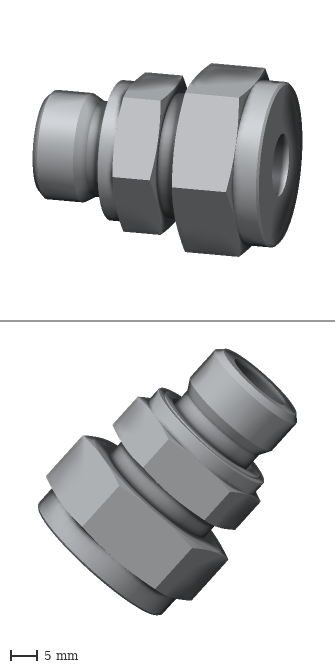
import cadquery as cq
import math


relief_start = 8.35
collar_start = 14.0
body_hex_start = 17.0
body_hex_end = 25.5
nut_hex_start = 29.5
nut_hex_end = 41.5
overall_length = 46.5

stud_radius = 20.955 / 2
stud_chamfer = 1.25
stud_neck_radius = 9.2
relief_angle = math.radians(30)
relief_end = relief_start + (stud_radius - stud_neck_radius) / math.tan(relief_angle)

collar_radius = 13.45
collar_chamfer = 0.1
middle_neck_radius = 12.0

body_hex_flats = 27.0
nut_hex_flats = 32.0
hex_chamfer_angle = math.radians(15)

nut_end_radius = 15.85
nut_end_chamfer = 0.45

bore_radius = 6.0
bore_chamfer = 0.5

seal_outer_radius = 12.0
seal_lead_in_radius = 10.0
seal_lead_in_depth = 0.8
seal_thickness = 1.5
seal_protrusion = 0.25
seal_start = collar_start - seal_protrusion
seal_end = seal_start + seal_thickness


def cylinder(radius, start, end):
    return cq.Workplane("YZ", origin=(start, 0, 0)).circle(radius).extrude(end - start)


def tube(outer_radius, inner_radius, start, end):
    return cylinder(outer_radius, start, end).cut(cylinder(inner_radius, start, end))


def revolve_about_x(points):
    """Revolve an outline given as (x, radius) points around the X axis."""
    return cq.Workplane("XY").polyline(points).close().revolve(360, (0, 0, 0), (1, 0, 0))


def chamfered_hexagon(flats, start, end):
    """Hexagon with flats at the top and bottom and its corners turned off at both ends."""
    inscribed_radius = flats / 2
    corner_radius = inscribed_radius / math.cos(math.pi / 6)
    chamfer_depth = (corner_radius - inscribed_radius) * math.tan(hex_chamfer_angle)
    prism = cq.Workplane("YZ", origin=(start, 0, 0)).polygon(6, 2 * corner_radius).extrude(end - start)
    turned_blank = revolve_about_x([
        (start, 0),
        (start, inscribed_radius),
        (start + chamfer_depth, corner_radius),
        (end - chamfer_depth, corner_radius),
        (end, inscribed_radius),
        (end, 0),
    ])
    return prism.intersect(turned_blank)


def make_stud():
    return revolve_about_x([
        (0, 0),
        (0, stud_radius - stud_chamfer),
        (stud_chamfer, stud_radius),
        (relief_start, stud_radius),
        (relief_end, stud_neck_radius),
        (body_hex_start, stud_neck_radius),
        (body_hex_start, 0),
    ])


def make_collar():
    collar = cylinder(collar_radius, collar_start, body_hex_start).faces("<X").chamfer(collar_chamfer)
    return collar.cut(tube(seal_outer_radius, stud_neck_radius, collar_start, seal_end))


def make_nut_end():
    return cylinder(nut_end_radius, nut_hex_end, overall_length).faces(">X").chamfer(nut_end_chamfer)


def make_bore():
    mouth = cq.Solid.makeCone(
        bore_radius + bore_chamfer, bore_radius, bore_chamfer, cq.Vector(0, 0, 0), cq.Vector(1, 0, 0)
    )
    return cylinder(bore_radius, 0, overall_length).union(cq.Workplane(mouth))


def make_fitting():
    return (
        make_stud()
        .union(make_collar())
        .union(chamfered_hexagon(body_hex_flats, body_hex_start, body_hex_end))
        .union(cylinder(middle_neck_radius, body_hex_end, nut_hex_start))
        .union(chamfered_hexagon(nut_hex_flats, nut_hex_start, nut_hex_end))
        .union(make_nut_end())
        .cut(make_bore())
    )


def make_seal():
    """Ring seated on the stud neck, its bore opening out as a cone towards the stud tip."""
    return revolve_about_x([
        (seal_start, seal_lead_in_radius),
        (seal_start, seal_outer_radius),
        (seal_end, seal_outer_radius),
        (seal_end, stud_neck_radius),
        (seal_start + seal_lead_in_depth, stud_neck_radius),
    ])


fitting = make_fitting()
seal = make_seal()

result = cq.Compound.makeCompound([fitting.val(), seal.val()])